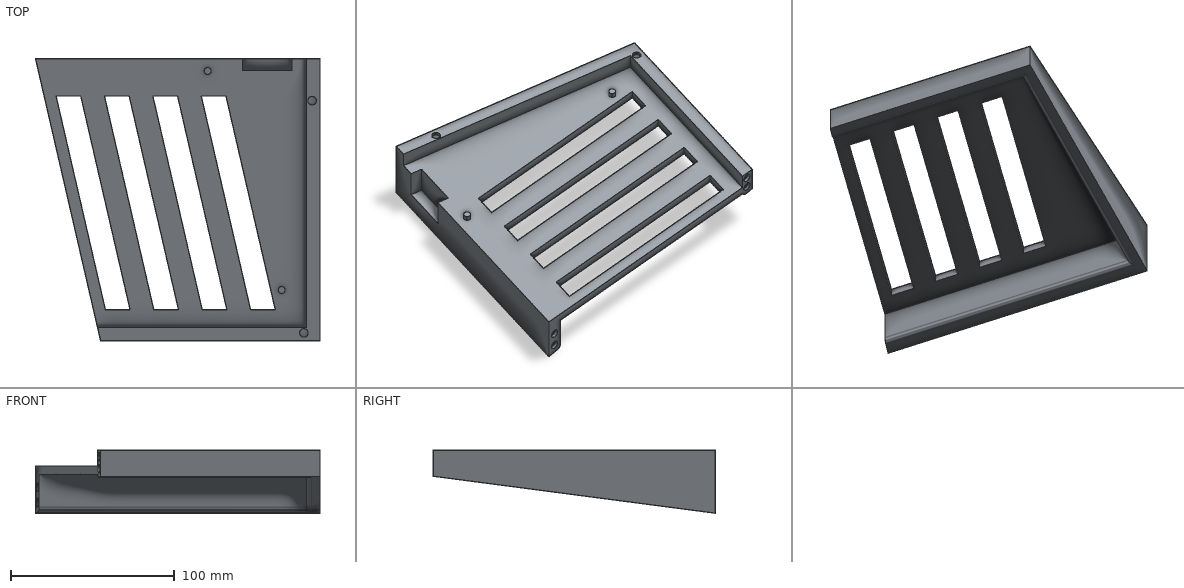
import cadquery as cq
width = 173.7
depth = 172.3
height = 38.5
taper = 39.8

plate_drop = 9.5
plate_thickness = 5.2
rail_width = 8.3
back_wall = 9.7
front_height = 16.0
inner_round = 3.0

slot_count = 4
slot_width = 15.0
slot_pitch = 29.5
slot_start = 12.7
slot_back = 23.0
slot_length = 130.3

pin_diameter = 4.2
pin_height = 3.1
pin_places = [(105.0, -7.6), (150.2, -141.2)]
hole_diameter = 5.2
hole_depth = 2.0
rail_hole_places = [(width - 4.9, -25.7), (163.8, 4.9 - depth)]
back_hole_y = -4.9
back_hole_levels = [-22.5, -32.0]
front_hole_y = 4.5 - depth
front_hole_levels = [-4.0, -11.3]

notch_start = 126.3
notch_width = 30.4
notch_depth = 7.5
notch_height = 17.4

plate_bottom = -plate_drop - plate_thickness
lean = taper / depth


def left_edge(y):
    """X of the slanted left edge at a given Y."""
    return -lean * y


def prism(points, bottom, top):
    """Upright prism over a plan outline."""
    return cq.Workplane("XY", origin=(0, 0, bottom)).polyline(points).close().extrude(top - bottom)


def strip(y_back, y_front, bottom, top):
    """Prism from the slanted left edge to the right side."""
    outline = [
        (left_edge(y_back), y_back),
        (width, y_back),
        (width, y_front),
        (left_edge(y_front), y_front),
    ]
    return prism(outline, bottom, top)


def sloped_envelope():
    """Side profile with the underside rising toward the front."""
    profile = [(0, 0), (0, -height), (-depth, -front_height), (-depth, 0)]
    return cq.Workplane("YZ").polyline(profile).close().extrude(width)


def skirt():
    """Front, right and back walls below the plate, rounded along the inner lower edges."""
    inner_x = width - rail_width
    inner_back = -back_wall
    inner_front = rail_width - depth
    outline = [
        (0, 0),
        (width, 0),
        (width, -depth),
        (left_edge(-depth), -depth),
        (left_edge(inner_front), inner_front),
        (inner_x, inner_front),
        (inner_x, inner_back),
        (left_edge(inner_back), inner_back),
    ]
    walls = prism(outline, -height, -plate_drop).intersect(sloped_envelope())
    reach = 0.2
    inner_edges = cq.selectors.BoxSelector(
        (-reach, inner_front - reach, -height),
        (inner_x + reach, inner_back + reach, -plate_drop - reach),
        boundingbox=True,
    )
    return walls.faces("<Z").edges(inner_edges).fillet(inner_round)


def rails():
    """Raised front and right rails above the plate."""
    front = strip(rail_width - depth, -depth, -plate_drop, 0)
    right = cq.Workplane("XY").box(rail_width, depth, plate_drop, centered=False)
    return front.union(right.translate((width - rail_width, -depth, -plate_drop)))


def slots():
    """Slanted slots through the plate."""
    back = -slot_back
    front = back - slot_length
    shift = lean * slot_length
    cutters = cq.Workplane("XY")
    for index in range(slot_count):
        left = slot_start + index * slot_pitch
        right = left + slot_width
        outline = [(left, back), (right, back), (right + shift, front), (left + shift, front)]
        cutters = cutters.add(prism(outline, plate_bottom, -plate_drop))
    return cutters.combine()


def end_holes(y, levels):
    """Blind holes square to the slanted left end of a wall."""
    holes = cq.Workplane("XY")
    for z in levels:
        mouth = cq.Plane(origin=(left_edge(y), y, z), xDir=(0, 0, 1), normal=(1, lean, 0))
        holes = holes.add(cq.Workplane(mouth).circle(hole_diameter / 2).extrude(hole_depth))
    return holes.combine()


plate = strip(0, -depth, plate_bottom, -plate_drop)
pins = (
    cq.Workplane("XY", origin=(0, 0, -plate_drop))
    .pushPoints(pin_places)
    .circle(pin_diameter / 2)
    .extrude(pin_height)
)
rail_holes = cq.Workplane("XY").pushPoints(rail_hole_places).circle(hole_diameter / 2).extrude(-hole_depth)
notch = (
    cq.Workplane("XY")
    .box(notch_width, notch_depth, notch_height, centered=False)
    .translate((notch_start, -notch_depth, -plate_drop - notch_height))
)

result = plate.union(skirt()).union(rails()).cut(slots()).union(pins)
result = result.cut(rail_holes).cut(notch)
result = result.cut(end_holes(back_hole_y, back_hole_levels))
result = result.cut(end_holes(front_hole_y, front_hole_levels))